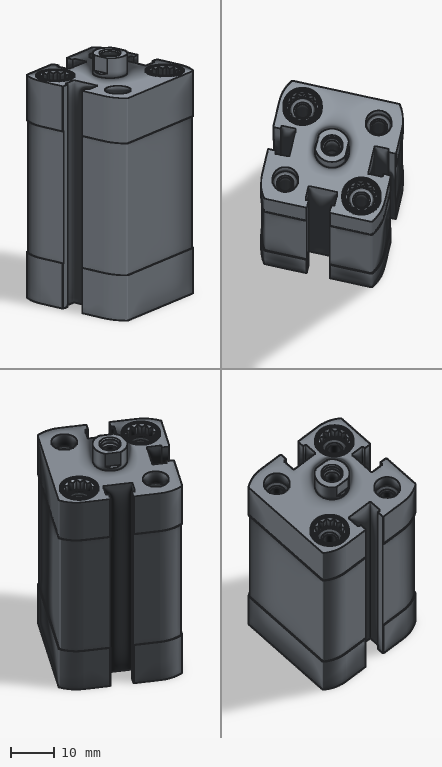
import cadquery as cq
import math

WIDTH = 29.0
TOTAL_HEIGHT = 58.75
ROD_PROJECTION = 4.8
BODY_HEIGHT = TOTAL_HEIGHT - ROD_PROJECTION
CAP_HEIGHT = 11.0

HALF_WIDTH = WIDTH / 2
BARREL_INSET = 0.2
ARC_CENTRE_X = 9.0
ARC_RADIUS = 9.3
CAP_CORNER_FILLET = 0.45
BARREL_CORNER_FILLET = 0.75

SLOT_DEPTH = 5.2
LIP_DEPTH = 1.8
SLOT_MOUTH = 5.35
SLOT_WIDTH = 6.9
SLOT_FILLET = 0.3
CAP_MOUTH_CHAMFER = 0.2
SLOT_ANGLES = (0, 90, 180)

HOLE_OFFSET = 9.0
THROUGH_DIAMETER = 3.25
COUNTERSINK_DIAMETER = 4.0
COUNTERBORE_DIAMETER = 6.0
COUNTERBORE_DEPTH = 3.5
HOLE_SIGNS = ((1, 1), (-1, -1), (1, -1), (-1, 1))
SOCKET_SIGNS = ((1, 1), (-1, -1))

SOCKET_POINTS = 12
SOCKET_ROOT_RADIUS = 3.6
SOCKET_TIP_RADIUS = 3.05
SOCKET_DEPTH = 2.95
SOCKET_MOUTH_RADIUS = 3.7

GROOVE_DEPTH = 0.9
GROOVE_OUTER_DIAMETER = 9.0
GROOVE_INNER_DIAMETER = 8.5
GROOVE_MOUTH_INNER_DIAMETER = 8.0

ROD_DIAMETER = 8.0
ROD_BOTTOM = BODY_HEIGHT - CAP_HEIGHT
FLAT_SPACING = 7.1
FLAT_LENGTH = 3.7
FLAT_RUNOUT_LENGTH = 0.35
ROD_MOUTH_DIAMETER = 5.0
ROD_BORE_DIAMETER = 4.3
ROD_BORE_DEPTH = 1.4
ROD_DRILL_DIAMETER = 3.4
ROD_DRILL_DEPTH = 10.0
DRILL_POINT_ANGLE = 118


def arched_block(inset, corner_fillet, bottom, height):
    """Upright block whose +Y and -Y sides curve in towards the four corners."""
    half = HALF_WIDTH - inset
    radius = ARC_RADIUS - inset
    centre_y = half - radius

    def arc_height(x):
        return centre_y + math.sqrt(radius**2 - (x - ARC_CENTRE_X)**2)

    mid_x = (ARC_CENTRE_X + half) / 2
    mid_y = arc_height(mid_x)
    corner_y = arc_height(half)
    block = (
        cq.Workplane("XY")
        .workplane(offset=bottom)
        .moveTo(-ARC_CENTRE_X, half)
        .lineTo(ARC_CENTRE_X, half)
        .threePointArc((mid_x, mid_y), (half, corner_y))
        .lineTo(half, -corner_y)
        .threePointArc((mid_x, -mid_y), (ARC_CENTRE_X, -half))
        .lineTo(-ARC_CENTRE_X, -half)
        .threePointArc((-mid_x, -mid_y), (-half, -corner_y))
        .lineTo(-half, corner_y)
        .threePointArc((-mid_x, mid_y), (-ARC_CENTRE_X, half))
        .close()
        .extrude(height)
    )
    return block.edges("|Z and (<X or >X)").fillet(corner_fillet)


def side_slot(angle):
    """Undercut slot cutter along the whole body, on the +Y side turned by angle about Z."""
    floor_y = HALF_WIDTH - SLOT_DEPTH
    lip_y = HALF_WIDTH - LIP_DEPTH
    undercut = (
        cq.Workplane("XY")
        .center(0, (floor_y + lip_y) / 2)
        .rect(SLOT_WIDTH, lip_y - floor_y)
        .extrude(BODY_HEIGHT)
        .edges("|Z")
        .fillet(SLOT_FILLET)
    )
    mouth = (
        cq.Workplane("XY")
        .center(0, (floor_y + HALF_WIDTH) / 2)
        .rect(SLOT_MOUTH, SLOT_DEPTH)
        .extrude(BODY_HEIGHT)
    )
    return undercut.union(mouth).rotate((0, 0, 0), (0, 0, 1), angle)


def mouth_chamfer(angle, bottom):
    """Cutter that bevels both edges of a slot mouth over the height of one end cap."""
    inner = SLOT_MOUTH / 2
    outer = inner + CAP_MOUTH_CHAMFER
    return (
        cq.Workplane("XY")
        .workplane(offset=bottom)
        .polyline([
            (-inner, HALF_WIDTH - CAP_MOUTH_CHAMFER),
            (inner, HALF_WIDTH - CAP_MOUTH_CHAMFER),
            (outer, HALF_WIDTH),
            (-outer, HALF_WIDTH),
        ])
        .close()
        .extrude(CAP_HEIGHT)
        .rotate((0, 0, 0), (0, 0, 1), angle)
    )


def revolved(points):
    """Solid of revolution about Z from (radius, height) points."""
    return cq.Workplane("XZ").polyline(points).close().revolve(360, (0, 0), (0, 1))


def corner_hole():
    """Counterbored through hole with a countersunk edge on the counterbore floor."""
    through = THROUGH_DIAMETER / 2
    countersink = COUNTERSINK_DIAMETER / 2
    counterbore = COUNTERBORE_DIAMETER / 2
    floor = BODY_HEIGHT - COUNTERBORE_DEPTH
    return revolved([
        (0, 0),
        (through, 0),
        (through, floor - (countersink - through)),
        (countersink, floor),
        (counterbore, floor),
        (counterbore, BODY_HEIGHT),
        (0, BODY_HEIGHT),
    ])


def socket():
    """Twelve-point star recess with a 45 degree lead-in cone."""
    step = math.pi / SOCKET_POINTS
    outline = []
    for i in range(2 * SOCKET_POINTS):
        radius = SOCKET_TIP_RADIUS if i % 2 else SOCKET_ROOT_RADIUS
        turn = math.pi / 4 + (i + 1) * step
        outline.append((radius * math.cos(turn), radius * math.sin(turn)))
    star = (
        cq.Workplane("XY")
        .workplane(offset=BODY_HEIGHT - SOCKET_DEPTH)
        .polyline(outline)
        .close()
        .extrude(SOCKET_DEPTH)
    )
    lead_in = revolved([
        (0, BODY_HEIGHT - SOCKET_MOUTH_RADIUS),
        (SOCKET_MOUTH_RADIUS, BODY_HEIGHT),
        (0, BODY_HEIGHT),
    ])
    return star.union(lead_in)


def ring_groove():
    """Narrow ring groove whose inner edge has a 45 degree bevel."""
    inner = GROOVE_INNER_DIAMETER / 2
    mouth_inner = GROOVE_MOUTH_INNER_DIAMETER / 2
    outer = GROOVE_OUTER_DIAMETER / 2
    floor = BODY_HEIGHT - GROOVE_DEPTH
    return revolved([
        (mouth_inner, BODY_HEIGHT),
        (inner, BODY_HEIGHT - (inner - mouth_inner)),
        (inner, floor),
        (outer, floor),
        (outer, BODY_HEIGHT),
    ])


def rod_blank():
    """Plain round bar, also the shape of the bore that receives the rod."""
    return (
        cq.Workplane("XY")
        .workplane(offset=ROD_BOTTOM)
        .circle(ROD_DIAMETER / 2)
        .extrude(TOTAL_HEIGHT - ROD_BOTTOM)
    )


def make_cylinder_body():
    """Barrel with two end caps, three side slots, corner holes and the rod bore."""
    body = arched_block(BARREL_INSET, BARREL_CORNER_FILLET, CAP_HEIGHT, BODY_HEIGHT - 2 * CAP_HEIGHT)
    cap_bottoms = (0, BODY_HEIGHT - CAP_HEIGHT)
    for cap_bottom in cap_bottoms:
        body = body.union(arched_block(0, CAP_CORNER_FILLET, cap_bottom, CAP_HEIGHT))
    for angle in SLOT_ANGLES:
        body = body.cut(side_slot(angle))
        for cap_bottom in cap_bottoms:
            body = body.cut(mouth_chamfer(angle, cap_bottom))
    for sign_x, sign_y in HOLE_SIGNS:
        place = (sign_x * HOLE_OFFSET, sign_y * HOLE_OFFSET, 0)
        body = body.cut(corner_hole().translate(place))
    for sign_x, sign_y in SOCKET_SIGNS:
        place = (sign_x * HOLE_OFFSET, sign_y * HOLE_OFFSET, 0)
        body = body.cut(socket().translate(place))
        body = body.cut(ring_groove().translate(place))
    return body.cut(rod_blank())


def rod_flat():
    """Cutter for the wrench flat on the +Y side, running out in a slope at its lower end."""
    flat_y = FLAT_SPACING / 2
    outer_y = ROD_DIAMETER / 2
    flat_bottom = TOTAL_HEIGHT - FLAT_LENGTH
    return (
        cq.Workplane("YZ")
        .polyline([
            (flat_y, TOTAL_HEIGHT),
            (flat_y, flat_bottom),
            (outer_y, flat_bottom - FLAT_RUNOUT_LENGTH),
            (outer_y, TOTAL_HEIGHT),
        ])
        .close()
        .extrude(ROD_DIAMETER / 2, both=True)
    )


def rod_hole():
    """Blind stepped hole in the rod end: chamfered bore, then a drill with a pointed end."""
    mouth = ROD_MOUTH_DIAMETER / 2
    bore = ROD_BORE_DIAMETER / 2
    drill = ROD_DRILL_DIAMETER / 2
    bore_bottom = TOTAL_HEIGHT - ROD_BORE_DEPTH
    drill_bottom = TOTAL_HEIGHT - ROD_DRILL_DEPTH
    point_length = drill / math.tan(math.radians(DRILL_POINT_ANGLE / 2))
    return revolved([
        (0, TOTAL_HEIGHT),
        (mouth, TOTAL_HEIGHT),
        (bore, TOTAL_HEIGHT - (mouth - bore)),
        (bore, bore_bottom),
        (drill, bore_bottom - (bore - drill)),
        (drill, drill_bottom),
        (0, drill_bottom - point_length),
    ])


def make_piston_rod():
    """Round rod with two wrench flats and a stepped hole in its end."""
    rod = rod_blank()
    for angle in (0, 180):
        rod = rod.cut(rod_flat().rotate((0, 0, 0), (0, 0, 1), angle))
    return rod.cut(rod_hole())


cylinder_body = make_cylinder_body()
piston_rod = make_piston_rod()

result = cq.Compound.makeCompound([cylinder_body.val(), piston_rod.val()])